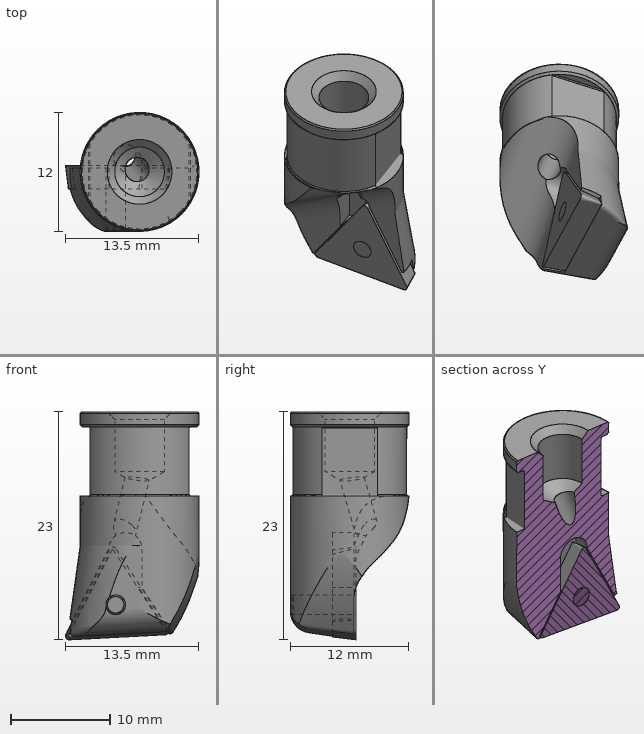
import cadquery as cq
import math


body_radius = 6.0
neck_radius = 5.75
flat_distance = 5.01
flange_height = 1.5
flange_top_chamfer = 0.14
flange_bottom_chamfer = 0.23
shoulder_depth = 8.46
neck_fillet = 0.12

bore_radius = 2.5
bore_depth = 6.0
bore_chamfer = 0.75
drill_point_angle = 118.0
drill_point_height = bore_radius / math.tan(math.radians(drill_point_angle / 2))

coolant_radius = 1.22
coolant_start_x = -0.44
coolant_start_y = 0.45
coolant_direction = cq.Vector(-4.8, 5.6, -19.4)
coolant_length = 11.5
coolant_overrun = 2.07

insert_x = -2.42
insert_depth = 19.57
insert_top_y = 0.65
insert_thickness = 2.37
insert_bottom_y = insert_top_y - insert_thickness
inscribed_radius = 3.17
nose_radius = 0.4
edge_tilt = 3.0
relief_angle = 7.0
screw_depth = 19.45
screw_radius = 1.0
screw_chamfer = 0.15
screw_recess = 0.15

blank_depth = 25.3
flare_depth = 13.48
flare_angle = 8.0
bottom_depth = 22.29
heel_radius = 2.12
rim_fillet = 0.45
side_relief_angle = 8.0
side_arc_top = (6.15, -13.35)
side_arc_middle = (5.27, -18.17)
side_arc_bottom = (2.65, -23.23)

floor_y = 0.41
roof_angle = 30.0
roof_depth = 12.0
floor_fillet = 4.0
lip_fillet = 3.0

pocket_gap = 0.1
slot_radius = 1.68
slot_x = -1.43
slot_center_depth = 13.85
slot_bottom_depth = 17.7
slot_top_y = 2.75
corner_side_angle = 150.0
notch_start = 3.27
notch_inner = 2.3
notch_outer = 9.2

cut_reach = 27.6


def front_sketch(x, y, z):
    """Sketch with +X right and +Z up that extrudes toward -Y."""
    return cq.Workplane(cq.Plane(origin=(x, y, z), xDir=(1, 0, 0), normal=(0, -1, 0)))


def insert_sketch(turn):
    """Sketch on the insert's top face, centered on it and turned from X."""
    return front_sketch(insert_x, insert_top_y, -insert_depth).transformed(rotate=(0, 0, turn))


def flange():
    """Chamfered disc at the end of the shank."""
    return (
        cq.Workplane("XY")
        .circle(body_radius)
        .extrude(-flange_height)
        .faces(">Z").edges().chamfer(flange_top_chamfer)
        .faces("<Z").edges().chamfer(flange_bottom_chamfer)
    )


def neck():
    """Reduced diameter with two opposite flats that run out in a small bevel."""
    height = shoulder_depth - flange_height
    base = cq.Workplane("XY").workplane(offset=-shoulder_depth)
    body = base.circle(neck_radius).extrude(height)
    for side in (-1, 1):
        inner_face = "<X" if side > 0 else ">X"
        flat = (
            base.center(side * neck_radius, 0)
            .rect(2 * (neck_radius - flat_distance), 2 * neck_radius)
            .extrude(height)
            .faces(inner_face).edges(">Z").chamfer(neck_fillet)
        )
        body = body.cut(flat)
    return body


def shank():
    """Flange, neck and full-diameter body, with a fillet where neck and body meet."""
    body = (
        cq.Workplane("XY")
        .workplane(offset=-shoulder_depth)
        .circle(body_radius)
        .extrude(shoulder_depth - blank_depth)
    )
    margin = 0.02
    reach = neck_radius + margin
    neck_base = cq.selectors.BoxSelector(
        (-reach, -reach, -shoulder_depth - margin),
        (reach, reach, -shoulder_depth + margin),
        boundingbox=True,
    )
    return flange().union(neck()).union(body).edges(neck_base).fillet(neck_fillet)


def flare():
    """Conical widening of the -X half of the cutting end."""
    height = blank_depth - flare_depth
    end_radius = body_radius + height * math.tan(math.radians(flare_angle))
    cone = cq.Workplane(
        cq.Solid.makeCone(
            body_radius, end_radius, height, cq.Vector(0, 0, -flare_depth), cq.Vector(0, 0, -1)
        )
    )
    left_half = (
        cq.Workplane("XY")
        .workplane(offset=-flare_depth)
        .center(-end_radius, 0)
        .rect(2 * end_radius, 2 * end_radius)
        .extrude(-height)
    )
    return cone.intersect(left_half)


def bottom_sketch():
    """YZ sketch whose normal follows the cutting edge; its origin is on the bottom plane."""
    tilt = math.radians(edge_tilt)
    plane = cq.Plane(
        origin=(0, insert_bottom_y, -bottom_depth),
        xDir=(0, 1, 0),
        normal=(math.cos(tilt), 0, math.sin(tilt)),
    )
    return cq.Workplane(plane)


def bottom_relief():
    """Material below the relieved bottom plane."""
    rise = cut_reach * math.tan(math.radians(relief_angle))
    return (
        bottom_sketch()
        .moveTo(-cut_reach, rise)
        .lineTo(cut_reach, -rise)
        .lineTo(cut_reach, -cut_reach)
        .lineTo(-cut_reach, -cut_reach)
        .close()
        .extrude(cut_reach, both=True)
    )


def heel_relief():
    """Material in front of the flat front plane and outside the rounded heel below it."""
    relief = math.radians(relief_angle)
    middle = (relief + math.pi / 2) / 2
    front_y = -body_radius - insert_bottom_y
    arc_y = front_y + heel_radius
    tangent_y = arc_y - heel_radius * math.sin(relief)
    tangent_z = -tangent_y * math.tan(relief)
    arc_z = tangent_z + heel_radius * math.cos(relief)
    arc_middle = (arc_y - heel_radius * math.sin(middle), arc_z - heel_radius * math.cos(middle))
    return (
        bottom_sketch()
        .moveTo(front_y, cut_reach)
        .lineTo(front_y, arc_z)
        .threePointArc(arc_middle, (tangent_y, tangent_z))
        .lineTo(tangent_y, -cut_reach)
        .lineTo(-cut_reach, -cut_reach)
        .lineTo(-cut_reach, cut_reach)
        .close()
        .extrude(cut_reach, both=True)
    )


def side_relief():
    """Curved relief of the +X side that leans inward toward the front."""
    lean = math.radians(side_relief_angle)
    plane = cq.Plane(
        origin=(0, floor_y, 0),
        xDir=(math.cos(lean), -math.sin(lean), 0),
        normal=(-math.sin(lean), -math.cos(lean), 0),
    )
    return (
        cq.Workplane(plane)
        .moveTo(*side_arc_top)
        .threePointArc(side_arc_middle, side_arc_bottom)
        .lineTo(side_arc_bottom[0], -cut_reach)
        .lineTo(cut_reach, -cut_reach)
        .lineTo(cut_reach, side_arc_top[1])
        .close()
        .extrude(cut_reach, both=True)
    )


def flute():
    """Chip flute: an S-shaped profile swept along a line that falls toward +X."""
    slope = math.radians(roof_angle)
    middle = (slope + math.pi / 2) / 2
    plane = cq.Plane(
        origin=(0, 0, -roof_depth),
        xDir=(0, 1, 0),
        normal=(math.cos(slope), 0, -math.sin(slope)),
    )
    roof_start_y = floor_y + floor_fillet * (1 - math.sin(slope))
    floor_end = (floor_y, -floor_fillet * math.cos(slope))
    floor_middle = (
        floor_y + floor_fillet * (1 - math.sin(middle)),
        floor_fillet * (math.cos(middle) - math.cos(slope)),
    )
    roof_end_y = body_radius - lip_fillet * (1 - math.sin(slope))
    roof_end_height = (roof_end_y - roof_start_y) * math.tan(slope)
    lip_end = (body_radius, roof_end_height + lip_fillet * math.cos(slope))
    lip_middle = (
        body_radius - lip_fillet * (1 - math.sin(middle)),
        roof_end_height + lip_fillet * (math.cos(slope) - math.cos(middle)),
    )
    return (
        cq.Workplane(plane)
        .moveTo(floor_y, -cut_reach)
        .lineTo(*floor_end)
        .threePointArc(floor_middle, (roof_start_y, 0))
        .lineTo(roof_end_y, roof_end_height)
        .threePointArc(lip_middle, lip_end)
        .lineTo(cut_reach, lip_end[1])
        .lineTo(cut_reach, -cut_reach)
        .close()
        .extrude(cut_reach, both=True)
    )


def bore():
    """Chamfered blind bore with a drill-point bottom."""
    return (
        cq.Workplane("XZ")
        .lineTo(bore_radius + bore_chamfer, 0)
        .lineTo(bore_radius, -bore_chamfer)
        .lineTo(bore_radius, -bore_depth)
        .lineTo(0, -bore_depth - drill_point_height)
        .close()
        .revolve(360, (0, 0, 0), (0, 1, 0))
    )


def coolant_hole():
    """Slanted hole from the bottom of the bore into the flute."""
    start = cq.Vector(coolant_start_x, coolant_start_y, -bore_depth - drill_point_height)
    start = start - coolant_direction.normalized() * coolant_overrun
    return cq.Workplane(cq.Solid.makeCylinder(coolant_radius, coolant_length, start, coolant_direction))


def triangle_plate(inner_radius):
    """Equilateral plate with rounded corners whose sides taper in below the top face."""
    nose_distance = 2 * (inner_radius - nose_radius)
    nose_centers = [
        (nose_distance * math.cos(math.radians(angle)), nose_distance * math.sin(math.radians(angle)))
        for angle in (90, 210, 330)
    ]
    return (
        insert_sketch(edge_tilt)
        .polyline(nose_centers)
        .close()
        .offset2D(nose_radius)
        .extrude(insert_thickness, taper=relief_angle)
    )


def pocket_slot():
    """Round-topped slot from the floor of the insert pocket up through the flute roof."""
    drop = slot_bottom_depth - slot_center_depth
    return (
        front_sketch(slot_x, slot_top_y, -slot_center_depth)
        .moveTo(-slot_radius, 0)
        .threePointArc((0, slot_radius), (slot_radius, 0))
        .lineTo(slot_radius, -drop)
        .lineTo(-slot_radius, -drop)
        .close()
        .extrude(slot_top_y - insert_bottom_y)
    )


def corner_notch():
    """Opening in the holder wall beside the exposed cutting corner."""
    return (
        insert_sketch(edge_tilt + corner_side_angle)
        .moveTo(notch_inner, notch_start)
        .lineTo(notch_outer, notch_start)
        .lineTo(notch_outer, notch_outer)
        .lineTo(notch_inner, notch_outer)
        .close()
        .extrude(insert_thickness)
    )


def screw_shank(length):
    """Plain cylinder along the screw axis, from the insert's top face toward the front."""
    return front_sketch(insert_x, insert_top_y, -screw_depth).circle(screw_radius).extrude(length)


def make_holder():
    blank = shank().union(flare()).cut(bottom_relief()).cut(side_relief()).cut(flute())

    flare_rim = cq.selectors.BoxSelector(
        (-cut_reach, -cut_reach, -cut_reach), (-body_radius / 2, cut_reach, 0)
    )
    side_rim = cq.selectors.BoxSelector(
        (body_radius / 3, -cut_reach, -cut_reach), (cut_reach, cut_reach, 0)
    )
    blank = blank.faces("<Z").edges(flare_rim + side_rim).fillet(rim_fillet)

    return (
        blank
        .cut(heel_relief())
        .cut(bore())
        .cut(coolant_hole())
        .cut(triangle_plate(inscribed_radius + pocket_gap))
        .cut(pocket_slot())
        .cut(corner_notch())
        .cut(screw_shank(cut_reach))
    )


def make_insert():
    return triangle_plate(inscribed_radius).cut(screw_shank(cut_reach))


def make_screw():
    """Screw shank with a chamfered tip, set slightly below the front plane."""
    length = insert_top_y + body_radius - screw_recess
    return screw_shank(length).faces("<Y").edges().chamfer(screw_chamfer)


holder = make_holder()
insert = make_insert()
screw = make_screw()

result = cq.Compound.makeCompound([holder.solids().val(), insert.solids().val(), screw.solids().val()])